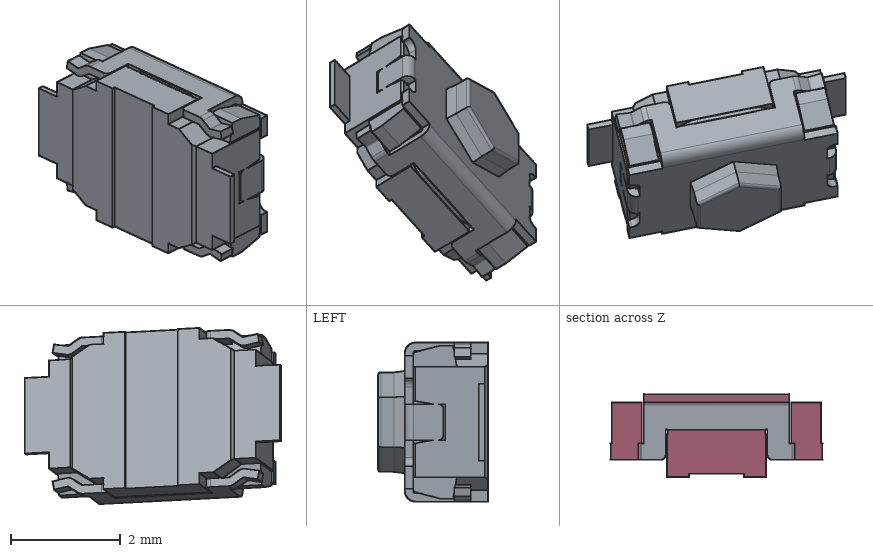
import cadquery as cq
import math


body_half_length = 1.945
end_half_width = 1.005
side_half_width = 1.245
end_inner_x = 1.545
side_corner_x = 1.165
foot_depth = 0.06
groove_half_length = 0.5
rim_chamfer = 0.04
ledge_y = 0.565
ledge_rise = 0.18

block_inner_x = 1.36
block_outer_x = body_half_length - rim_chamfer
block_half_width = 1.39
block_slope_y = 0.87
block_top_half_width = 1.265

flange_half_length = 0.9
flange_top = 0.78

sheet = 0.16
cover_top = 1.515
cover_underside = cover_top - sheet
half_width = 1.45
bend_radius = 0.2
bend_relief = 0.04
panel_half_length = 1.325
panel_edge_y = 0.615
leg_bottom = 0.31
window_half_length = 0.92
window_top = 0.865
leg_corner_radius = 0.1
foot_bend_x = 1.425
foot_valley_x = 1.65
foot_valley_drop = 0.15
foot_tip_x = 1.915
foot_tip_lift = 0.05
foot_outer_radius = 0.18
foot_inner_radius = foot_outer_radius - sheet

latch_half_width = 1.43
latch_flat_x = 0.52
latch_arc_x = 0.68
latch_angle = math.radians(30)

tongue_half_width = 0.325
tongue_tip_y = 0.81
tongue_corner_radius = 0.085
tongue_bend_radius = 0.16
notch_half_width = 0.8
notch_radius = 0.16
notch_floor_x = body_half_length - tongue_bend_radius - bend_relief
pocket_bottom = 0.78
pocket_taper_y = 1.0
pocket_mouth_half_width = 0.385

button_top = 2.0
button_sides = 6
button_turn = 2 * math.pi / button_sides
button_radius = 0.905
button_edge_radius = 0.055
button_skirt_y = 1.72
button_skirt_radius = 0.93

part_half_length = 2.4
terminal_half_width = 0.7
terminal_top = 0.17


def box(x0, x1, y0, y1, z0, z1):
    return cq.Workplane("XY").box(x1 - x0, y1 - y0, z1 - z0, centered=False).translate((x0, y0, z0))


def centred_box(half_x, y0, y1, half_z):
    return box(-half_x, half_x, y0, y1, -half_z, half_z)


def plan(y):
    """Sketch plane at height y, with local axes (X, Z); extrude by a negative amount to go up."""
    return cq.Workplane("XZ", origin=(0, y, 0))


def end_on(x):
    """Sketch plane across the part at x, with local axes (Y, Z), extruding toward +X."""
    return cq.Workplane("YZ", origin=(x, 0, 0))


def mirrored_xz(shape):
    """The shape together with its reflections in X = 0 and Z = 0."""
    pair = shape.union(shape.mirror("YZ"))
    return pair.union(pair.mirror("XY"))


def both_ends(shape):
    return shape.union(shape.mirror("YZ"))


def core():
    """Full-height body with cut corners, chamfered at both edges of its ends."""
    profile = (
        cq.Workplane("XY", origin=(0, 0, -side_half_width))
        .moveTo(groove_half_length, foot_depth)
        .lineTo(groove_half_length, 0)
        .lineTo(end_inner_x - foot_depth, 0)
        .lineTo(end_inner_x, foot_depth)
        .lineTo(body_half_length, foot_depth)
        .lineTo(body_half_length, cover_underside - rim_chamfer)
        .lineTo(body_half_length - rim_chamfer, cover_underside)
        .lineTo(0, cover_underside)
        .lineTo(0, foot_depth)
        .close()
        .extrude(2 * side_half_width)
    )
    outline = (
        plan(0)
        .moveTo(0, 0)
        .lineTo(body_half_length, 0)
        .lineTo(body_half_length, end_half_width)
        .lineTo(end_inner_x, end_half_width)
        .lineTo(side_corner_x, side_half_width)
        .lineTo(0, side_half_width)
        .close()
        .extrude(-cover_underside)
    )
    return both_ends(profile).intersect(mirrored_xz(outline))


def underside_at(z):
    return ledge_y + ledge_rise * (z - end_half_width)


def shoulder(x0, x1, profile):
    return end_on(x0).polyline(profile).close().extrude(x1 - x0)


def corner_blocks():
    """Overhanging corners: a shoulder level with the body side and a sloped outer block."""
    side = [
        (ledge_y, end_half_width),
        (underside_at(side_half_width), side_half_width),
        (cover_underside, side_half_width),
        (cover_underside, end_half_width),
    ]
    block = [
        (ledge_y, end_half_width),
        (underside_at(block_half_width), block_half_width),
        (block_slope_y, block_half_width),
        (cover_underside, block_top_half_width),
        (cover_underside, end_half_width),
    ]
    inner = shoulder(side_corner_x, block_inner_x, side)
    outer = shoulder(block_inner_x, block_outer_x, block)
    return mirrored_xz(inner.union(outer))


def flange():
    """Raised middle across the whole width, with the base groove running through it."""
    bar = centred_box(flange_half_length, 0, flange_top, half_width)
    return bar.cut(centred_box(groove_half_length, 0, foot_depth, half_width))


def latches():
    """Low humps above the flange, flat in the middle and rounded into sloping ends."""
    radius = (latch_arc_x - latch_flat_x) / math.sin(latch_angle)
    half_angle = latch_angle / 2
    arc_middle = (
        latch_flat_x + radius * math.sin(half_angle),
        latch_half_width - radius * (1 - math.cos(half_angle)),
    )
    arc_end_z = latch_half_width - radius * (1 - math.cos(latch_angle))
    root_x = latch_arc_x + (arc_end_z - side_half_width) / math.tan(latch_angle)
    hump = (
        plan(flange_top)
        .moveTo(0, 0)
        .lineTo(0, latch_half_width)
        .lineTo(latch_flat_x, latch_half_width)
        .threePointArc(arc_middle, (latch_arc_x, arc_end_z))
        .lineTo(root_x, side_half_width)
        .lineTo(root_x, 0)
        .close()
        .extrude(flange_top - window_top)
    )
    return mirrored_xz(hump)


def tongue_pockets():
    pocket = (
        end_on(body_half_length - sheet)
        .polyline([
            (pocket_bottom, -tongue_half_width),
            (pocket_taper_y, -tongue_half_width),
            (cover_underside - rim_chamfer, -pocket_mouth_half_width),
            (cover_underside, -pocket_mouth_half_width),
            (cover_underside, pocket_mouth_half_width),
            (cover_underside - rim_chamfer, pocket_mouth_half_width),
            (pocket_taper_y, tongue_half_width),
            (pocket_bottom, tongue_half_width),
        ])
        .close()
        .extrude(sheet)
    )
    return both_ends(pocket)


def folded_channel():
    """Top plate with both long side panels, as far as the end of the panels."""
    outer = (
        centred_box(panel_half_length, panel_edge_y, cover_top, half_width)
        .edges("|X and >Y").fillet(bend_radius)
    )
    inner = (
        centred_box(panel_half_length, panel_edge_y, cover_underside, half_width - sheet)
        .edges("|X and >Y").fillet(bend_radius - sheet)
    )
    return outer.cut(inner)


def top_plate():
    """Plate over the body, with a notch at each end around the tongue."""
    plate = centred_box(
        body_half_length, cover_underside, cover_top, half_width - bend_radius - bend_relief
    )
    notch = (
        box(notch_floor_x, body_half_length, cover_underside, cover_top,
            -notch_half_width, notch_half_width)
        .edges("|Y and <X").fillet(notch_radius)
    )
    return plate.cut(both_ends(notch))


def tongues():
    """End tabs folded down flush with the body ends."""
    tongue = (
        box(notch_floor_x, body_half_length, tongue_tip_y, cover_top,
            -tongue_half_width, tongue_half_width)
        .edges("|Z and >X and >Y").fillet(tongue_bend_radius)
        .cut(box(notch_floor_x, body_half_length - sheet, tongue_tip_y, cover_underside,
                 -tongue_half_width, tongue_half_width))
        .edges("|X and <Y").fillet(tongue_corner_radius)
    )
    return both_ends(tongue)


def legs():
    """Cover legs beside the window, each ending in a cranked foot."""
    outer_z = half_width
    bend = (foot_bend_x, outer_z)
    valley = (foot_valley_x, outer_z - foot_valley_drop)
    tip = (foot_tip_x, valley[1] + foot_tip_lift)
    ramp_angle = math.atan2(foot_valley_drop, foot_valley_x - foot_bend_x)
    tip_angle = math.atan2(foot_tip_lift, foot_tip_x - foot_valley_x)

    bend_inner = (bend[0] - sheet * math.tan(ramp_angle / 2), bend[1] - sheet)
    miter = (ramp_angle + tip_angle) / 2
    miter_length = sheet / math.cos(miter)
    miter_lean = (ramp_angle - tip_angle) / 2
    valley_inner = (
        valley[0] - miter_length * math.sin(miter_lean),
        valley[1] - miter_length * math.cos(miter_lean),
    )
    tip_inner = (tip[0] + sheet * math.sin(tip_angle), tip[1] - sheet * math.cos(tip_angle))

    def bend_edge(point):
        x, z = point
        return cq.selectors.NearestToPointSelector((x, (leg_bottom + panel_edge_y) / 2, z))

    strip = (
        plan(leg_bottom)
        .polyline([
            (window_half_length, outer_z), bend, valley, tip,
            tip_inner, valley_inner, bend_inner, (window_half_length, outer_z - sheet),
        ])
        .close()
        .extrude(leg_bottom - panel_edge_y)
    )
    for point in (bend, valley_inner):
        strip = strip.edges(bend_edge(point)).fillet(foot_outer_radius)
    for point in (bend_inner, valley):
        strip = strip.edges(bend_edge(point)).fillet(foot_inner_radius)
    strip = strip.edges("|Z and <X and <Y").fillet(leg_corner_radius)
    return mirrored_xz(strip)


def cover():
    window = centred_box(window_half_length, panel_edge_y, window_top, half_width)
    shell = folded_channel().cut(window)
    return shell.union(top_plate()).union(tongues()).union(legs())


def hexagon(y, corner_radius):
    """Hexagon at height y with two of its corners on the Z axis."""
    corners = [
        (corner_radius * math.sin(i * button_turn), corner_radius * math.cos(i * button_turn))
        for i in range(button_sides)
    ]
    return plan(y).polyline(corners).close()


def button():
    """Six-sided head on a skirt that widens toward the cover."""
    head = (
        hexagon(button_skirt_y, button_radius)
        .extrude(button_skirt_y - button_top)
        .faces(">Y").edges().fillet(button_edge_radius)
    )
    skirt_height = button_skirt_y - cover_top
    flat_inset = (button_skirt_radius - button_radius) * math.cos(button_turn / 2)
    flat_lean = math.degrees(math.atan2(flat_inset, skirt_height))
    skirt = hexagon(cover_top, button_skirt_radius).extrude(-skirt_height, taper=flat_lean)
    return skirt.union(head)


def terminals():
    return both_ends(box(
        body_half_length, part_half_length, foot_depth, terminal_top,
        -terminal_half_width, terminal_half_width,
    ))


body = core().union(corner_blocks()).cut(tongue_pockets()).union(flange()).union(latches())
result = body.union(cover()).union(button()).union(terminals())